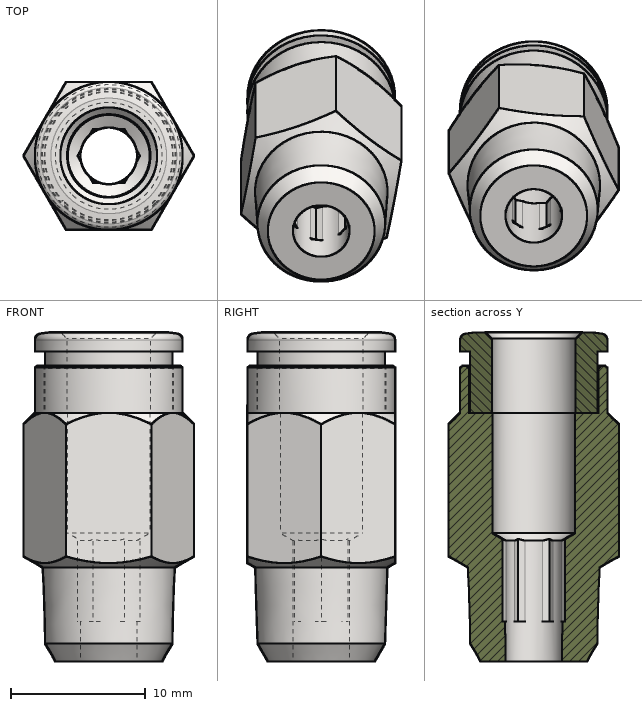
import cadquery as cq
import math

TOTAL_HEIGHT = 24.5
TIP_CHAMFER_HEIGHT = 1.35
HEX_BOTTOM = 7.0
HEX_TOP = 18.5
BODY_TOP = 22.0
FLANGE_BOTTOM = 23.05

HEX_ACROSS_FLATS = 11.0
HEX_BOTTOM_CHAMFER_ANGLE = 30.0
HEX_TOP_CHAMFER_ANGLE = 45.0
TIP_CHAMFER_ANGLE = 30.0
THREAD_TIP_DIAMETER = 9.5
THREAD_TAPER = 1 / 16
COLLAR_DIAMETER = 11.0
COLLAR_CHAMFER_HEIGHT = 0.15
COLLAR_CHAMFER_WIDTH = 0.2

THROUGH_HOLE_DIAMETER = 4.2
KEY_ACROSS_FLATS = 4.0
KEY_FLOOR = 3.0
FUNNEL_BOTTOM = 9.0
FUNNEL_ANGLE = 30.0
TUBE_BORE_DIAMETER = 6.1
SLEEVE_SEAT = HEX_TOP
SLEEVE_POCKET_DIAMETER = 9.6
SLEEVE_POCKET_CHAMFER = 0.2

NECK_DIAMETER = 9.5
FLANGE_DIAMETER = 11.0
FLANGE_ROUND = 0.5
FLANGE_ROUND_START = 23.9
CROWN_DIAMETER = 8.6
SLEEVE_BORE_DIAMETER = 6.2
LEAD_IN_DIAMETER = 7.2
LEAD_IN_ANGLE = 45.0


def tan_deg(angle):
    return math.tan(math.radians(angle))


def hex_prism(across_flats, bottom, top):
    """Hexagonal bar along Z with two corners on the X axis."""
    across_corners = across_flats / math.cos(math.radians(30))
    return cq.Workplane("XY").workplane(offset=bottom).polygon(6, across_corners).extrude(top - bottom)


def revolved(outline):
    """Solid of revolution about Z from a closed (radius, height) outline on YZ."""
    return outline.close().revolve(360, (0, 0), (0, 1))


def make_body_outside():
    tip_radius = THREAD_TIP_DIAMETER / 2
    end_radius = tip_radius - TIP_CHAMFER_HEIGHT * tan_deg(TIP_CHAMFER_ANGLE)
    root_radius = tip_radius + (HEX_BOTTOM - TIP_CHAMFER_HEIGHT) * THREAD_TAPER / 2
    collar_radius = COLLAR_DIAMETER / 2
    corner_radius = HEX_ACROSS_FLATS / 2 / math.cos(math.radians(30))

    hexagon = hex_prism(HEX_ACROSS_FLATS, HEX_BOTTOM, HEX_TOP)
    bottom_rise = (corner_radius - root_radius) * tan_deg(HEX_BOTTOM_CHAMFER_ANGLE)
    top_drop = (corner_radius - collar_radius) * tan_deg(HEX_TOP_CHAMFER_ANGLE)
    chamfer_envelope = revolved(
        cq.Workplane("YZ")
        .moveTo(0, HEX_BOTTOM)
        .lineTo(root_radius, HEX_BOTTOM)
        .lineTo(corner_radius, HEX_BOTTOM + bottom_rise)
        .lineTo(corner_radius, HEX_TOP - top_drop)
        .lineTo(collar_radius, HEX_TOP)
        .lineTo(0, HEX_TOP)
    )
    thread = revolved(
        cq.Workplane("YZ")
        .lineTo(end_radius, 0)
        .lineTo(tip_radius, TIP_CHAMFER_HEIGHT)
        .lineTo(root_radius, HEX_BOTTOM)
        .lineTo(0, HEX_BOTTOM)
    )
    collar = revolved(
        cq.Workplane("YZ")
        .moveTo(0, HEX_TOP)
        .lineTo(collar_radius, HEX_TOP)
        .lineTo(collar_radius, BODY_TOP - COLLAR_CHAMFER_HEIGHT)
        .lineTo(collar_radius - COLLAR_CHAMFER_WIDTH, BODY_TOP)
        .lineTo(0, BODY_TOP)
    )
    return hexagon.intersect(chamfer_envelope).union(thread).union(collar)


def make_body():
    hole_radius = THROUGH_HOLE_DIAMETER / 2
    bore_radius = TUBE_BORE_DIAMETER / 2
    pocket_radius = SLEEVE_POCKET_DIAMETER / 2
    funnel_top = FUNNEL_BOTTOM + (bore_radius - hole_radius) * tan_deg(FUNNEL_ANGLE)

    passage = revolved(
        cq.Workplane("YZ")
        .lineTo(hole_radius, 0)
        .lineTo(hole_radius, FUNNEL_BOTTOM)
        .lineTo(bore_radius, funnel_top)
        .lineTo(bore_radius, SLEEVE_SEAT)
        .lineTo(pocket_radius, SLEEVE_SEAT)
        .lineTo(pocket_radius, BODY_TOP - SLEEVE_POCKET_CHAMFER)
        .lineTo(pocket_radius + SLEEVE_POCKET_CHAMFER, BODY_TOP)
        .lineTo(0, BODY_TOP)
    )
    key_socket = hex_prism(KEY_ACROSS_FLATS, KEY_FLOOR, funnel_top)
    return make_body_outside().cut(passage).cut(key_socket)


def make_release_sleeve():
    bore_radius = SLEEVE_BORE_DIAMETER / 2
    neck_radius = NECK_DIAMETER / 2
    flange_radius = FLANGE_DIAMETER / 2
    crown_radius = CROWN_DIAMETER / 2
    lead_in_radius = LEAD_IN_DIAMETER / 2
    lead_in_depth = (lead_in_radius - bore_radius) / tan_deg(LEAD_IN_ANGLE)

    round_center_radius = flange_radius - FLANGE_ROUND
    reach = round_center_radius - crown_radius
    drop = TOTAL_HEIGHT - FLANGE_ROUND_START
    slope = math.atan2(drop, reach) - math.asin(FLANGE_ROUND / math.hypot(reach, drop))
    round_end = math.pi / 2 - slope

    def round_point(angle):
        """Point on the rim round at an angle above horizontal."""
        return (
            round_center_radius + FLANGE_ROUND * math.cos(angle),
            FLANGE_ROUND_START + FLANGE_ROUND * math.sin(angle),
        )

    return revolved(
        cq.Workplane("YZ")
        .moveTo(bore_radius, SLEEVE_SEAT)
        .lineTo(neck_radius, SLEEVE_SEAT)
        .lineTo(neck_radius, FLANGE_BOTTOM)
        .lineTo(flange_radius, FLANGE_BOTTOM)
        .lineTo(flange_radius, FLANGE_ROUND_START)
        .threePointArc(round_point(round_end / 2), round_point(round_end))
        .lineTo(crown_radius, TOTAL_HEIGHT)
        .lineTo(lead_in_radius, TOTAL_HEIGHT)
        .lineTo(bore_radius, TOTAL_HEIGHT - lead_in_depth)
    )


body = make_body()
release_sleeve = make_release_sleeve()

result = cq.Compound.makeCompound([body.val(), release_sleeve.val()])